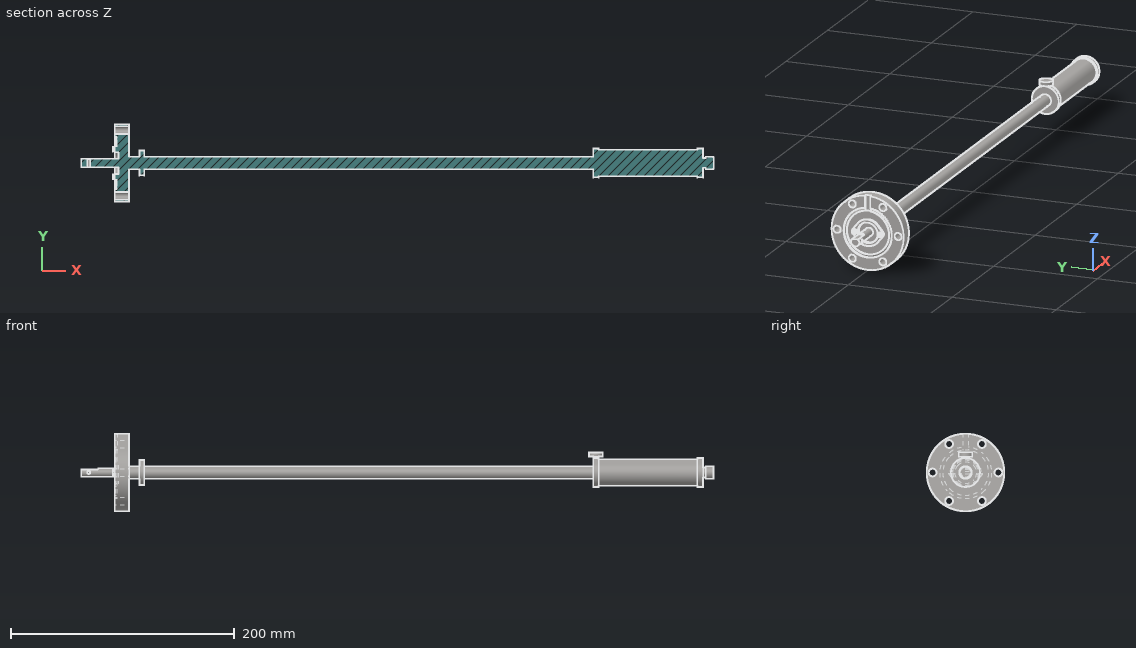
import cadquery as cq
import math

overall_length = 565.5

shaft_radius = 4.0
flat_length = 14.5
flat_height = 3.0
cross_hole_x = 7.0
cross_hole_diameter = 2.0

flange_start = 30.0
flange_thickness = 13.0
flange_end = flange_start + flange_thickness
flange_radius = 69.5 / 2
bolt_count = 6
bolt_circle_radius = 29.5
bolt_hole_diameter = 7.0
recess_radius = 23.0
recess_depth = 1.5
knife_edge_radius = 20.5
knife_edge_height = 1.0
hub_radius = 12.5
hub_bore_radius = 9.5
hub_bore_depth = 3.5
leak_groove_width = 5.0
leak_groove_depth = 2.0

screw_offset = 12.5
screw_head_radius = 2.0
screw_socket_radius = 1.0
screw_protrusion = 1.5
ear_radius = 3.0

tube_radius = 5.5
collar_start = 52.0
collar_length = 4.5
collar_radius = 11.5

handle_start = 457.5
handle_end = 556.0
handle_radius = 12.0
ring_length = 5.0
ring_radius = 13.0

plug_start = 558.0
plug_radius = 5.5
plug_neck_radius = 4.5
plug_chamfer = 0.5

thumb_head_radius = 6.0
thumb_head_top = 18.0
thumb_head_thickness = 4.0
thumb_stem_radius = 2.0


def rod(start, end, radius, y=0.0):
    """Cylinder parallel to X between two stations."""
    return cq.Workplane("YZ", origin=(start, y, 0)).circle(radius).extrude(end - start)


def make_shaft():
    shaft = rod(0, flange_end, shaft_radius)
    rise = shaft_radius - flat_height
    flat_cut = (
        cq.Workplane("XZ")
        .moveTo(0, flat_height)
        .lineTo(flat_length, flat_height)
        .lineTo(flat_length + rise, shaft_radius)
        .lineTo(0, shaft_radius)
        .close()
        .extrude(shaft_radius, both=True)
    )
    cross_hole = (
        cq.Workplane("XZ")
        .center(cross_hole_x, 0)
        .circle(cross_hole_diameter / 2)
        .extrude(shaft_radius, both=True)
    )
    return shaft.cut(flat_cut).cut(cross_hole)


def make_hub_plate():
    """Round plate drawn out by straight tangents into two rounded ears along Y."""
    tangent_angle = math.acos((hub_radius - ear_radius) / screw_offset)
    normal_y = math.cos(tangent_angle)
    normal_z = math.sin(tangent_angle)
    hub_y = hub_radius * normal_y
    hub_z = hub_radius * normal_z
    ear_y = screw_offset + ear_radius * normal_y
    ear_z = ear_radius * normal_z
    ear_tip = screw_offset + ear_radius
    return (
        cq.Workplane("YZ", origin=(flange_start, 0, 0))
        .moveTo(ear_y, ear_z)
        .lineTo(hub_y, hub_z)
        .threePointArc((0, hub_radius), (-hub_y, hub_z))
        .lineTo(-ear_y, ear_z)
        .threePointArc((-ear_tip, 0), (-ear_y, -ear_z))
        .lineTo(-hub_y, -hub_z)
        .threePointArc((0, -hub_radius), (hub_y, -hub_z))
        .lineTo(ear_y, -ear_z)
        .threePointArc((ear_tip, 0), (ear_y, ear_z))
        .close()
        .extrude(recess_depth)
    )


def make_flange():
    recess_floor = flange_start + recess_depth
    flange = rod(flange_start, flange_end, flange_radius)
    flange = flange.cut(rod(flange_start, recess_floor, recess_radius))

    seal_crest = recess_floor - knife_edge_height
    seal = (
        cq.Workplane("XY")
        .moveTo(recess_floor, recess_radius)
        .lineTo(seal_crest, knife_edge_radius)
        .lineTo(recess_floor, knife_edge_radius)
        .close()
        .revolve(360, (0, 0, 0), (1, 0, 0))
    )
    flange = flange.union(seal)

    flange = flange.union(make_hub_plate())
    flange = flange.cut(rod(flange_start, flange_start + hub_bore_depth, hub_bore_radius))

    bolt_holes = (
        cq.Workplane("YZ", origin=(flange_start, 0, 0))
        .polarArray(bolt_circle_radius, 0, 360, bolt_count)
        .circle(bolt_hole_diameter / 2)
        .extrude(flange_thickness)
    )
    leak_groove = (
        cq.Workplane("XY", origin=(flange_start, 0, 0))
        .rect(2 * leak_groove_depth, leak_groove_width)
        .extrude(2 * flange_radius)
        .cut(rod(flange_start, flange_end, knife_edge_radius))
    )
    return flange.cut(bolt_holes).cut(leak_groove)


def make_flange_screws():
    screw_start = flange_start - screw_protrusion
    screw_seat = flange_start + hub_bore_depth
    screws = cq.Workplane("YZ")
    for y in (screw_offset, -screw_offset):
        head = rod(screw_start, screw_seat, screw_head_radius, y)
        socket = rod(screw_start, flange_start, screw_socket_radius, y)
        screws = screws.add(head.cut(socket))
    return screws.combine()


def make_tube():
    tube = rod(flange_end, handle_start, tube_radius)
    return tube.union(rod(collar_start, collar_start + collar_length, collar_radius))


def make_handle():
    """Grip with a raised ring at each end."""
    handle = rod(handle_start, handle_end, handle_radius)
    for ring_start in (handle_start, handle_end - ring_length):
        handle = handle.union(rod(ring_start, ring_start + ring_length, ring_radius))
    return handle


def make_end_plug():
    neck = rod(handle_end, plug_start, plug_neck_radius)
    plug = rod(plug_start, overall_length, plug_radius).faces(">X").chamfer(plug_chamfer)
    return neck.union(plug)


def make_thumb_screw():
    head_bottom = thumb_head_top - thumb_head_thickness
    screw_x = handle_start + ring_length / 2
    stem = cq.Workplane("XY", origin=(screw_x, 0, 0)).circle(thumb_stem_radius).extrude(head_bottom)
    head = (
        cq.Workplane("XY", origin=(screw_x, 0, head_bottom))
        .circle(thumb_head_radius)
        .extrude(thumb_head_thickness)
    )
    return stem.union(head)


result = (
    make_flange()
    .union(make_shaft())
    .union(make_flange_screws())
    .union(make_tube())
    .union(make_handle())
    .union(make_end_plug())
    .union(make_thumb_screw())
)